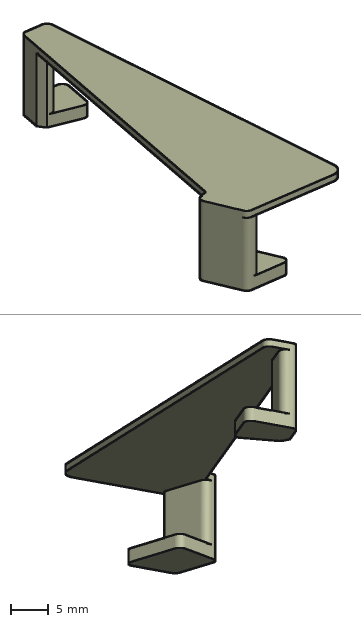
import cadquery as cq
import math

length = 57.6
height = 12.0

plate_thickness = 1.05
foot_thickness = 1.95
wall_thickness = 2.4
foot_depth = 7.5
corner_radius = 1.0
plate_corner_radius = 2.0

back_y = 19.65
narrow_front_y = 14.95
wide_front_y = 2.2
side_taper = 0.05
taper_start_y = 17.3
front_right_x = length - side_taper

wide_hook_angle = math.radians(19.7)
narrow_hook_length = 5.2
wide_hook_length = 7.55
notch_depth = 2.4


def offset(point, angle, along, inward=0.0):
    """Move a point along a direction and to the left of it."""
    return (
        point[0] + along * math.cos(angle) - inward * math.sin(angle),
        point[1] + along * math.sin(angle) + inward * math.cos(angle),
    )


wide_corner = (front_right_x, wide_front_y)
wide_end = offset(wide_corner, wide_hook_angle, -wide_hook_length)
notch = offset(wide_end, wide_hook_angle, 0, notch_depth)

narrow_corner = (0.0, narrow_front_y)
arm_slope = math.atan2(narrow_front_y - notch[1], notch[0])
narrow_end = offset(narrow_corner, -arm_slope, narrow_hook_length)


def prism(points, bottom, thickness):
    return cq.Workplane("XY").workplane(offset=bottom).polyline(points).close().extrude(thickness)


def round_corner(body, point, radius=corner_radius):
    """Round the upright edge that passes through a plan point."""
    reach = 0.03
    box = cq.selectors.BoxSelector(
        (point[0] - reach, point[1] - reach, -height),
        (point[0] + reach, point[1] + reach, 2 * height),
    )
    return body.edges("|Z").edges(box).fillet(radius)


def narrow_layer(depth, thickness):
    """Slab behind the narrow front edge, with a chamfered inner front corner."""
    inner_end = offset(narrow_end, -arm_slope, 0, depth)
    inner_corner = (0.0, narrow_front_y + depth / math.cos(arm_slope))
    body = prism([narrow_corner, narrow_end, inner_end, inner_corner], 0, thickness)
    for point in (narrow_corner, inner_end, inner_corner):
        body = round_corner(body, point)
    return body.edges("|Z").edges("<Y").chamfer(corner_radius)


def wide_layer(depth, thickness):
    """Slab behind the angled front edge at the wide end."""
    inner_end = offset(wide_end, wide_hook_angle, 0, depth)
    inner_corner = (front_right_x, wide_front_y + depth / math.cos(wide_hook_angle))
    points = [wide_corner, inner_corner, inner_end, wide_end]
    body = prism(points, 0, thickness)
    for point in points:
        body = round_corner(body, point)
    return body


def make_plate():
    back_left = (0.0, back_y)
    back_right = (length, back_y)
    taper_start = (length, taper_start_y)
    points = [narrow_corner, notch, wide_end, wide_corner, taper_start, back_right, back_left]
    body = prism(points, height - plate_thickness, plate_thickness)
    for point in (narrow_corner, wide_end, wide_corner, back_left):
        body = round_corner(body, point)
    return round_corner(body, back_right, plate_corner_radius)


result = make_plate()
for layer in (narrow_layer, wide_layer):
    result = result.union(layer(wall_thickness, height))
    result = result.union(layer(foot_depth, foot_thickness))